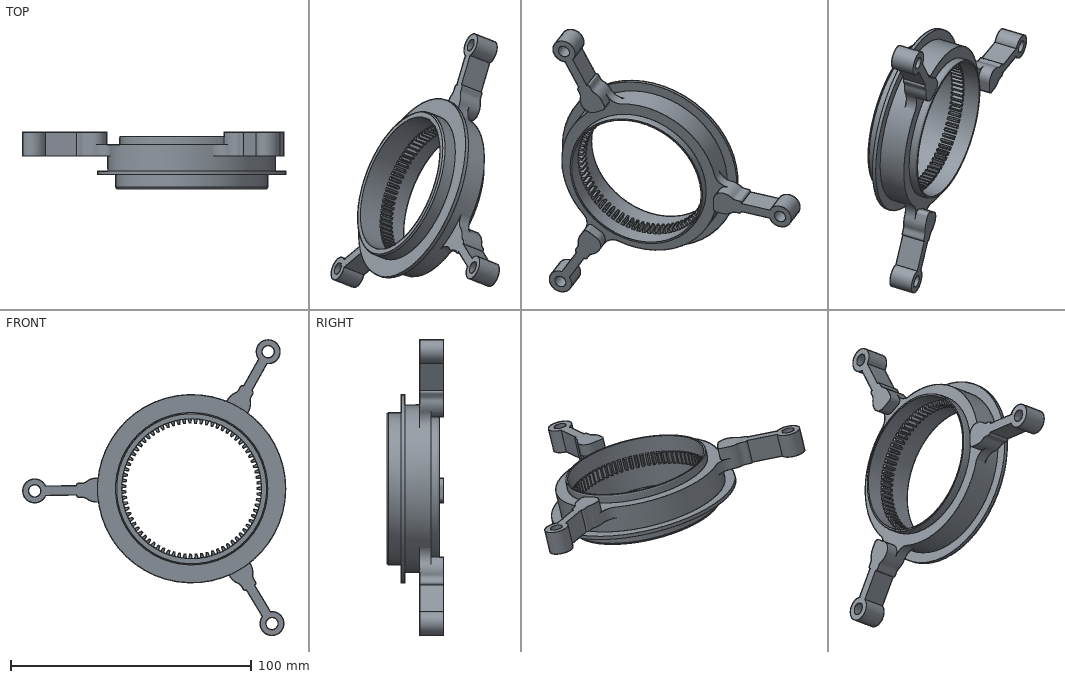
import math

import cadquery as cq

ARM_DEPTH = 10.0
RIM_REAR = 1.7
BODY_REAR = 5.2
FLANGE_REAR = 16.2
FLANGE_FRONT = 17.7
LIP_FRONT = 23.7

BODY_RADIUS = 35.0
FLANGE_RADIUS = 78.5 / 2
LIP_RADIUS = 63.5 / 2
RIM_RADIUS = 30.0
BORE_RADIUS = 58.2 / 2
LIP_CHAMFER_RADIAL = 0.5
LIP_CHAMFER_DEPTH = 0.8
RIM_CHAMFER_RADIAL = 0.2
RIM_CHAMFER_DEPTH = 0.7

TOOTH_COUNT = 75
TOOTH_TIP_RADIUS = 27.3
TOOTH_ROOT_WIDTH = 1.5
TOOTH_TIP_WIDTH = 0.7
TOOTH_PHASE = 0.27
TOOTH_OVERLAP = 0.3
GEAR_REAR = 8.7
GEAR_FRONT = 13.7

ARM_COUNT = 3
ARM_START_ANGLE = 180.8
EYE_DISTANCE = 65.395
EYE_RADIUS = 5.0
EYE_HOLE_DIAMETER = 5.0
BAR_HALF_WIDTH = 2.0
SHOULDER_HALF_WIDTH = 3.0
SHOULDER_ROUND = SHOULDER_HALF_WIDTH - BAR_HALF_WIDTH
SHOULDER_OUTER = 48.0
SHOULDER_INNER = 45.5
HOLLOW_SHARE = 0.28
FOOT_HALF_WIDTH = 5.0
FOOT_OUTER = 39.6
FOOT_INNER = 35.4
FOOT_SMALL_CORNER = 3.5 / 2
FOOT_LARGE_CORNER = FOOT_OUTER - FOOT_INNER
FLARE_HALF_WIDTH = 8.6
FLARE_ROOT = 33.0


def extrude_forward(sketch, rear, front):
    """Solid of an XZ sketch between two depths; XZ workplanes extrude towards -Y."""
    return sketch.extrude(front - rear).translate((0, -rear, 0))


def make_ring():
    """Stepped ring turned about the Y axis: rear rim, body, flange and front lip."""
    profile = [
        (BORE_RADIUS, -RIM_REAR),
        (RIM_RADIUS - RIM_CHAMFER_RADIAL, -RIM_REAR),
        (RIM_RADIUS, -RIM_REAR - RIM_CHAMFER_DEPTH),
        (RIM_RADIUS, -BODY_REAR),
        (BODY_RADIUS, -BODY_REAR),
        (BODY_RADIUS, -FLANGE_REAR),
        (FLANGE_RADIUS, -FLANGE_REAR),
        (FLANGE_RADIUS, -FLANGE_FRONT),
        (LIP_RADIUS, -FLANGE_FRONT),
        (LIP_RADIUS, -LIP_FRONT + LIP_CHAMFER_DEPTH),
        (LIP_RADIUS - LIP_CHAMFER_RADIAL, -LIP_FRONT),
        (BORE_RADIUS, -LIP_FRONT),
    ]
    return cq.Workplane("XY").polyline(profile).close().revolve(360, (0, 0, 0), (0, 1, 0))


def make_teeth():
    """Tapered teeth pointing inward from the bore, rooted slightly inside the ring wall."""
    root_half = TOOTH_ROOT_WIDTH / 2
    tip_half = TOOTH_TIP_WIDTH / 2
    root = BORE_RADIUS + TOOTH_OVERLAP
    outline = [
        (root, -root_half),
        (BORE_RADIUS, -root_half),
        (TOOTH_TIP_RADIUS, -tip_half),
        (TOOTH_TIP_RADIUS, tip_half),
        (BORE_RADIUS, root_half),
        (root, root_half),
    ]
    tooth = extrude_forward(cq.Workplane("XZ").polyline(outline).close(), GEAR_REAR, GEAR_FRONT).val()
    pitch = 360 / TOOTH_COUNT
    return [
        tooth.rotate((0, 0, 0), (0, -1, 0), TOOTH_PHASE + index * pitch)
        for index in range(TOOTH_COUNT)
    ]


def make_arm_bar():
    """Bar that widens through a rounded shoulder and an S-curve to the width of the foot."""
    hollow_end_x = SHOULDER_INNER - HOLLOW_SHARE * (SHOULDER_INNER - FOOT_OUTER)
    hollow_end_z = SHOULDER_HALF_WIDTH + HOLLOW_SHARE * (FOOT_HALF_WIDTH - SHOULDER_HALF_WIDTH)
    half_outline = (
        cq.Workplane("XZ")
        .moveTo(EYE_DISTANCE, 0)
        .lineTo(EYE_DISTANCE, BAR_HALF_WIDTH)
        .lineTo(SHOULDER_OUTER, BAR_HALF_WIDTH)
        .radiusArc((SHOULDER_OUTER - SHOULDER_ROUND, SHOULDER_HALF_WIDTH), -SHOULDER_ROUND)
        .lineTo(SHOULDER_INNER, SHOULDER_HALF_WIDTH)
        .tangentArcPoint((hollow_end_x, hollow_end_z), relative=False)
        .tangentArcPoint((FOOT_OUTER, FOOT_HALF_WIDTH), relative=False)
        .lineTo(FOOT_OUTER, 0)
        .close()
    )
    half = half_outline.extrude(ARM_DEPTH)
    return half.union(half.mirror("XY"))


def make_arm_foot():
    """Full-depth end block of the arm, its two inner corners rounded by different amounts."""
    foot = (
        cq.Workplane("XZ")
        .moveTo(FOOT_OUTER, -FOOT_HALF_WIDTH)
        .lineTo(FOOT_OUTER, FOOT_HALF_WIDTH)
        .lineTo(FOOT_INNER + FOOT_SMALL_CORNER, FOOT_HALF_WIDTH)
        .tangentArcPoint((FOOT_INNER, FOOT_HALF_WIDTH - FOOT_SMALL_CORNER), relative=False)
        .lineTo(FOOT_INNER, FOOT_LARGE_CORNER - FOOT_HALF_WIDTH)
        .radiusArc((FOOT_OUTER, -FOOT_HALF_WIDTH), -FOOT_LARGE_CORNER)
        .close()
    )
    return foot.extrude(ARM_DEPTH)


def make_arm_flare():
    """Web that flares from the foot into the outside of the ring body."""
    flare_end = math.sqrt(BODY_RADIUS**2 - FLARE_HALF_WIDTH**2)
    length = FOOT_OUTER - flare_end
    spread = FLARE_HALF_WIDTH - FOOT_HALF_WIDTH
    flare_radius = (length**2 + spread**2) / (2 * spread)
    half_outline = (
        cq.Workplane("XZ")
        .moveTo(FOOT_OUTER, 0)
        .lineTo(FOOT_OUTER, FOOT_HALF_WIDTH)
        .radiusArc((flare_end, FLARE_HALF_WIDTH), flare_radius)
        .lineTo(FLARE_ROOT, FLARE_HALF_WIDTH)
        .lineTo(FLARE_ROOT, 0)
        .close()
    )
    half = extrude_forward(half_outline, BODY_REAR, ARM_DEPTH)
    return half.union(half.mirror("XY"))


def make_arm():
    """One arm lying along +X, with its eye at the outer end and its foot against the ring."""
    bar = make_arm_bar().union(make_arm_foot()).union(make_arm_flare())
    eye_plane = cq.Workplane("XZ").center(EYE_DISTANCE, 0)
    eye = eye_plane.circle(EYE_RADIUS).extrude(ARM_DEPTH)
    hole = eye_plane.circle(EYE_HOLE_DIAMETER / 2).extrude(ARM_DEPTH)
    return bar.union(eye).cut(hole)


def make_part():
    """Ring with its equally spaced arms and its internal gear."""
    part = make_ring()
    arm = make_arm()
    for index in range(ARM_COUNT):
        angle = ARM_START_ANGLE + index * 360 / ARM_COUNT
        part = part.union(arm.rotate((0, 0, 0), (0, -1, 0), angle))
    return cq.Workplane(part.val().fuse(*make_teeth())).solids()


result = make_part()